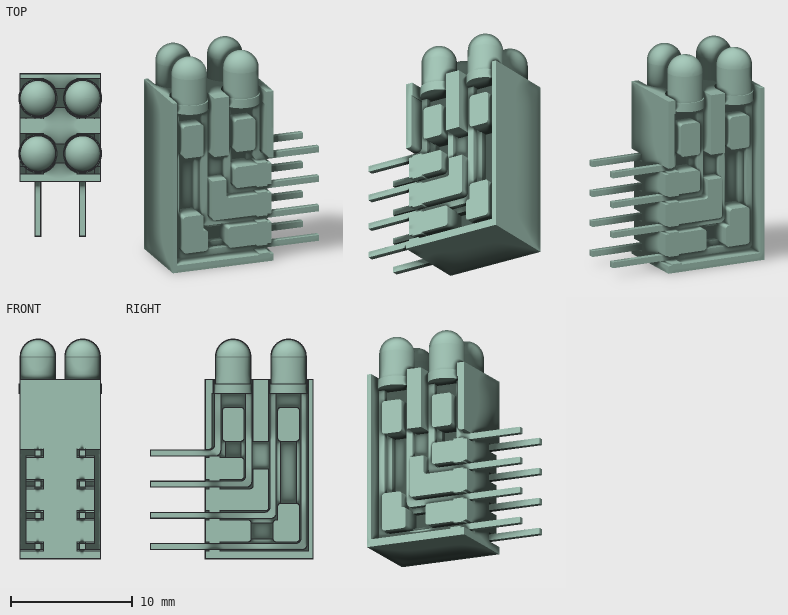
import cadquery as cq


lamp_pitch_x = 3.66
lamp_pitch_y = 4.55
lens_radius = 1.46
flange_diameter = 3.12
flange_thickness = 0.75
lamp_top_z = 18.03
lead_size = 0.5
lead_spread = 2.55
lead_rows = 4
lead_pitch_z = 2.56
lead_overhang = 4.49
bend_radius = 0.43

holder_width = 6.64
holder_depth = 8.85
holder_height = 14.73
web_width = 2.78
block_inset = 0.5
back_wall = 0.38
floor_thickness = 0.63
seat_z = 13.58
pocket_diameter = 3.26
pocket_link_width = 1.57
middle_rib_bottom_z = 9.65
low_rib_top_z = 7.35
lead_clearance = 0.13
front_wall_clearance = 0.04
front_wall_low_y = 0.55
front_wall_high_y = 0.63
corner_radius = 0.25
upper_boss_top_z = 12.42
lower_boss_top_z = 4.56
lower_boss_foot = 0.38
front_block_back_y = 3.77
grip_front_y = 0.32
grip_back_y = 1.23
groove_width = 1.3
groove_depth = 0.61

flange_radius = flange_diameter / 2
pocket_radius = pocket_diameter / 2
half_lead = lead_size / 2
channel_half = half_lead + lead_clearance
block_width = holder_width - 2 * block_inset
back_lamp_y = holder_depth - back_wall - pocket_radius
front_lamp_y = back_lamp_y - lamp_pitch_y
boss_half = lead_spread / 2 - channel_half
pocket_rib_back_y = back_lamp_y - pocket_radius
pocket_rib_front_y = front_lamp_y + pocket_radius
lowest_tail_z = floor_thickness + channel_half
tail_z = [lowest_tail_z + row * lead_pitch_z for row in range(lead_rows)]
front_wall_bottom_z = tail_z[-1] + half_lead + front_wall_clearance
dome_base_z = lamp_top_z - lens_radius


def slab(width, y0, y1, z0, z1):
    """Box of the given width, centred on X = 0."""
    block = cq.Workplane("XY").box(width, y1 - y0, z1 - z0, centered=(True, False, False))
    return block.translate((0, y0, z0))


def rounded_prism(outline, width, corners, radius):
    """Y-Z outline extruded to both sides of X = 0, with the listed corners rounded."""
    prism = cq.Workplane("YZ").polyline(outline).close().extrude(width / 2, both=True)
    for y, z in corners:
        nearest = cq.selectors.NearestToPointSelector((0, y, z))
        prism = prism.edges("|X").edges(nearest).fillet(radius)
    return prism


def make_web():
    """Central web with the lamp seats and the shallow grooves between the bosses."""
    web = slab(web_width, 0, holder_depth, 0, holder_height)
    tail_mid_z = (tail_z[0] + tail_z[1]) / 2
    half_groove = groove_width / 2
    boss_foot_y = back_lamp_y - boss_half - lower_boss_foot
    upright = (lower_boss_top_z, middle_rib_bottom_z)
    short_upright = (tail_z[3] - channel_half, middle_rib_bottom_z)
    grooves = [
        (back_lamp_y - half_groove, back_lamp_y + half_groove, *upright),
        (front_lamp_y - half_groove, front_lamp_y + half_groove, *short_upright),
        (front_block_back_y, boss_foot_y, tail_mid_z - half_groove, tail_mid_z + half_groove),
    ]
    for groove in grooves:
        for side in (-1, 1):
            cutter = slab(2 * groove_depth, *groove).translate((side * web_width / 2, 0, 0))
            web = web.cut(cutter)
    return web


def make_frame():
    """Full-width back wall, floor, front wall and the rib between the lamp rows."""
    back = slab(holder_width, holder_depth - back_wall, holder_depth, 0, holder_height)
    floor = slab(holder_width, 0, holder_depth, 0, floor_thickness)
    rib = slab(holder_width, pocket_rib_front_y, pocket_rib_back_y, middle_rib_bottom_z, holder_height)
    front_outline = [
        (0, front_wall_bottom_z),
        (front_wall_low_y, front_wall_bottom_z),
        (front_wall_low_y, seat_z),
        (front_wall_high_y, seat_z),
        (front_wall_high_y, holder_height),
        (0, holder_height),
    ]
    front = rounded_prism(front_outline, holder_width, front_outline[1:2], corner_radius)
    return back.union(floor).union(rib).union(front)


def make_blocks():
    """Bosses and ribs that guide the leads, set in from the holder's sides."""
    blocks = []

    for lamp_y in (front_lamp_y, back_lamp_y):
        near = lamp_y - boss_half
        far = lamp_y + boss_half
        boss = [
            (near, middle_rib_bottom_z),
            (far, middle_rib_bottom_z),
            (far, upper_boss_top_z),
            (near, upper_boss_top_z),
        ]
        blocks.append((boss, boss))

    near = back_lamp_y - boss_half
    far = back_lamp_y + boss_half
    foot_y = near - lower_boss_foot
    foot_bottom = tail_z[0] + channel_half
    foot_top = tail_z[1] - channel_half
    lower_boss = [
        (far, lower_boss_top_z),
        (far, foot_bottom),
        (foot_y, foot_bottom),
        (foot_y, foot_top),
        (near, foot_top),
        (near, lower_boss_top_z),
    ]
    sharp_corner = (near, foot_top)
    blocks.append((lower_boss, [corner for corner in lower_boss if corner != sharp_corner]))

    front_block = [
        (0, foot_bottom),
        (front_block_back_y, foot_bottom),
        (front_block_back_y, foot_top),
        (0, foot_top),
    ]
    blocks.append((front_block, front_block[1:3]))

    rib_bottom = tail_z[1] + channel_half
    rib_top = tail_z[2] - channel_half
    l_rib = [
        (0, rib_bottom),
        (pocket_rib_back_y, rib_bottom),
        (pocket_rib_back_y, low_rib_top_z),
        (pocket_rib_front_y, low_rib_top_z),
        (pocket_rib_front_y, rib_top),
        (0, rib_top),
    ]
    blocks.append((l_rib, [l_rib[1], l_rib[4]]))

    top_back_y = front_lamp_y + boss_half
    top_block = [
        (0, tail_z[2] + channel_half),
        (top_back_y, tail_z[2] + channel_half),
        (top_back_y, tail_z[3] - channel_half),
        (0, tail_z[3] - channel_half),
    ]
    blocks.append((top_block, top_block[1:3]))
    return [rounded_prism(outline, block_width, corners, corner_radius) for outline, corners in blocks]


def make_grips():
    """Low pads that close the channels onto the lead tails."""
    grips = []
    for row, z in enumerate(tail_z):
        lower_width = holder_width if row == 0 else block_width
        lower = slab(lower_width, grip_front_y, grip_back_y, z - channel_half, z - half_lead)
        grips.append(lower)
        if row < lead_rows - 1:
            grips.append(slab(block_width, grip_front_y, grip_back_y, z + half_lead, z + channel_half))
    return grips


def make_pockets():
    """Cutters for the round lamp seats, with slots that join neighbours across the middle."""
    height = holder_height - seat_z
    half_pitch = lamp_pitch_x / 2
    centres = [(side * half_pitch, y) for side in (-1, 1) for y in (front_lamp_y, back_lamp_y)]
    seat_plane = cq.Workplane("XY", origin=(0, 0, seat_z))
    pockets = seat_plane.pushPoints(centres).circle(pocket_radius).extrude(height)
    half_link = pocket_link_width / 2
    for y in (front_lamp_y, back_lamp_y):
        pockets = pockets.union(slab(lamp_pitch_x, y - half_link, y + half_link, seat_z, holder_height))
    return pockets


def make_holder():
    """The holder as one solid: web, frame, guide blocks and grips."""
    holder = make_web().cut(make_pockets()).union(make_frame())
    for piece in make_blocks() + make_grips():
        holder = holder.union(piece)
    return holder


def make_lead(lead_y, z):
    """Square wire that drops from the flange and bends forward."""
    outline = [
        (lead_y + half_lead, seat_z),
        (lead_y + half_lead, z - half_lead),
        (-lead_overhang, z - half_lead),
        (-lead_overhang, z + half_lead),
        (lead_y - half_lead, z + half_lead),
        (lead_y - half_lead, seat_z),
    ]
    return rounded_prism(outline, lead_size, [outline[1], outline[4]], bend_radius)


def make_lamp(x, y, back_tail_z, front_tail_z):
    """Domed lens with its flange and two leads, as one solid."""
    profile = (
        cq.Workplane("XZ")
        .moveTo(0, seat_z)
        .lineTo(flange_radius, seat_z)
        .lineTo(flange_radius, seat_z + flange_thickness)
        .lineTo(lens_radius, seat_z + flange_thickness)
        .lineTo(lens_radius, dome_base_z)
        .radiusArc((0, lamp_top_z), -lens_radius)
        .close()
    )
    lamp = profile.revolve(360, (0, 0, 0), (0, 1, 0)).translate((0, y, 0))
    lamp = lamp.union(make_lead(y + lead_spread / 2, back_tail_z))
    lamp = lamp.union(make_lead(y - lead_spread / 2, front_tail_z))
    return lamp.translate((x, 0, 0))


holder = make_holder()
lamps = []
for lamp_x in (-lamp_pitch_x / 2, lamp_pitch_x / 2):
    lamps.append(make_lamp(lamp_x, back_lamp_y, tail_z[0], tail_z[1]))
    lamps.append(make_lamp(lamp_x, front_lamp_y, tail_z[2], tail_z[3]))

result = cq.Compound.makeCompound([holder.val(), *[lamp.val() for lamp in lamps]])